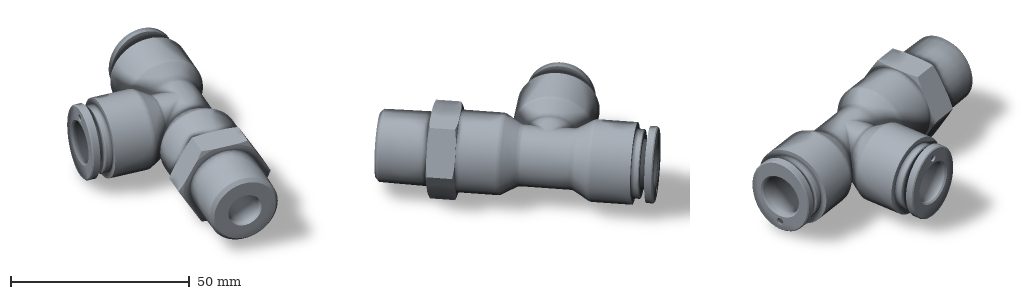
import cadquery as cq
import math

overall_length = 78.3
arm_length = 30.6
thread_end_x = overall_length - arm_length

socket_radius = 23.2 / 2
waist_radius = 17.3 / 2
socket_face = 24.6
shoulder = 12.7
taper_angle = math.radians(30)
waist_end = shoulder - (socket_radius - waist_radius) / math.tan(taper_angle)
blend_radius = 2.0
bore_radius = 10.0 / 2
tube_radius = 12.2 / 2
tube_stop = 10.2

hex_flats = 24.0
hex_start = 24.75
hex_length = 8.1
hex_chamfer_radius = 12.45
hex_chamfer_depth = 0.5
thread_root_radius = 10.5
thread_tip_radius = 10.25
thread_chamfer = 1.0

collar_radius = 19.6 / 2
collar_face = 26.8
collar_chamfer = 0.2

neck_radius = 14.2 / 2
flange_thickness = 2.3
flange_width = 19.6
flange_height = 22.55
flange_chamfer = 0.3
mouth_chamfer = 0.5
dot_radius = 2.0 / 2
dot_offset = 8.4
dot_depth = 0.8


def cylinder_on_x(radius, start, end):
    """Cylinder about the X axis between two X positions."""
    return cq.Workplane("YZ").workplane(offset=start).circle(radius).extrude(end - start)


def revolve_on_x(profile):
    """Solid of revolution about the X axis from (x, radius) points."""
    return cq.Workplane("XY").polyline(profile).close().revolve(360, (0, 0, 0), (1, 0, 0))


def as_branch(shape):
    """Half turn about the diagonal of X and Y, which carries the -X arm onto the -Y arm."""
    return shape.rotate((0, 0, 0), (1, 1, 0), 180)


def make_arm(end, blended_waist):
    """Solid arm pointing to -X, with a rounded shoulder and, if asked, a blended waist edge."""
    arm = revolve_on_x([
        (0, 0),
        (0, waist_radius),
        (-waist_end, waist_radius),
        (-shoulder, socket_radius),
        (-end, socket_radius),
        (-end, 0),
    ])
    cone_edges = arm.faces("%CONE").edges("%CIRCLE")
    if not blended_waist:
        cone_edges = arm.faces("%CONE").edges(cq.selectors.RadiusNthSelector(-1))
    return cone_edges.fillet(blend_radius)


def make_socket_bore():
    """Stepped bore of the -X arm: flow bore at the junction, tube bore out to the socket face."""
    flow = cylinder_on_x(bore_radius, -tube_stop, 0)
    tube = cylinder_on_x(tube_radius, -socket_face, -tube_stop)
    return flow.union(tube)


def make_tee():
    """Tee body: two arms along the run, one branch, and the bores that meet at the junction."""
    run_arm = make_arm(socket_face, True)
    adapter_arm = make_arm(hex_start, True).mirror("YZ")
    branch = as_branch(make_arm(socket_face, False))
    outside = run_arm.union(adapter_arm).union(branch)
    bore = make_socket_bore()
    return outside.cut(bore).cut(as_branch(bore)).cut(cylinder_on_x(bore_radius, 0, hex_start))


def make_adapter():
    """Hexagon with chamfered corners and a tapered thread blank, bored through."""
    hex_end = hex_start + hex_length
    corner_radius = hex_flats / math.sqrt(3)
    hexagon = (
        cq.Workplane("YZ")
        .workplane(offset=hex_start)
        .polygon(6, 2 * corner_radius)
        .extrude(hex_length)
    )
    chamfer_envelope = revolve_on_x([
        (hex_start, 0),
        (hex_start, hex_chamfer_radius),
        (hex_start + hex_chamfer_depth, corner_radius),
        (hex_end - hex_chamfer_depth, corner_radius),
        (hex_end, hex_chamfer_radius),
        (hex_end, 0),
    ])
    thread = revolve_on_x([
        (hex_end, 0),
        (hex_end, thread_root_radius),
        (thread_end_x - thread_chamfer, thread_tip_radius),
        (thread_end_x, thread_tip_radius - thread_chamfer),
        (thread_end_x, 0),
    ])
    bore = cylinder_on_x(bore_radius, hex_start, thread_end_x)
    return hexagon.intersect(chamfer_envelope).union(thread).cut(bore)


def make_collar():
    """Ring on the end face of the -X socket."""
    ring = cylinder_on_x(collar_radius, -collar_face, -socket_face)
    ring = ring.faces("<X").edges().chamfer(collar_chamfer)
    return ring.cut(cylinder_on_x(tube_radius, -collar_face, -socket_face))


def make_sleeve():
    """Release sleeve of the -X socket: oval flange with a marker dot, on a round neck."""
    flange = (
        cq.Workplane("YZ")
        .workplane(offset=-arm_length)
        .ellipse(flange_width / 2, flange_height / 2)
        .extrude(flange_thickness)
        .faces("<X")
        .edges()
        .chamfer(flange_chamfer)
    )
    neck = cylinder_on_x(neck_radius, flange_thickness - arm_length, -collar_face)
    bore = revolve_on_x([
        (-arm_length, 0),
        (-arm_length, tube_radius + mouth_chamfer),
        (mouth_chamfer - arm_length, tube_radius),
        (-collar_face, tube_radius),
        (-collar_face, 0),
    ])
    dot = cylinder_on_x(dot_radius, -arm_length, dot_depth - arm_length)
    return flange.union(neck).cut(bore).cut(dot.translate((0, 0, -dot_offset)))


tee = make_tee()
adapter = make_adapter()
bodies = [tee.val(), adapter.val()]
for on_branch in (False, True):
    for part in (make_collar(), make_sleeve()):
        placed = as_branch(part) if on_branch else part
        bodies.append(placed.val())

result = cq.Compound.makeCompound(bodies)